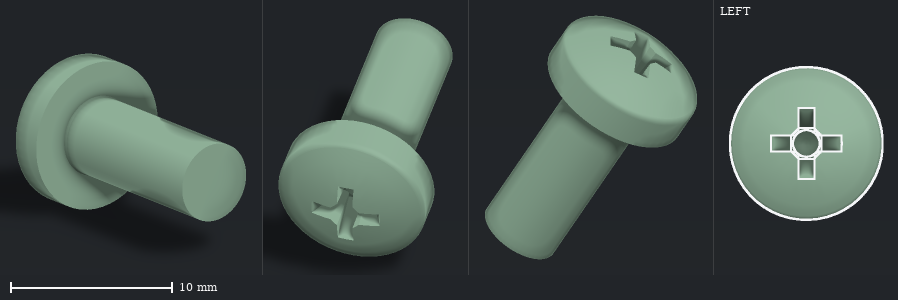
import cadquery as cq
import math

end_x = 15.63
shank_dia = 5.0
shank_length = 11.97
neck_length = 0.19
neck_flare = 0.06

head_dia = 9.5
seat_x = end_x - shank_length
apex_x = -0.06
dome_radius = 8.08
rim_round = 0.45

wing_width = 1.0
wing_reach = 2.2
wing_reach_x = 0.23
wing_floor_reach = 0.95
floor_x = 2.75
core_mouth_half = 1.0
core_floor_radius = 0.83
cone_depth = 0.44
recess_start_x = -0.31


def make_body():
    head_radius = head_dia / 2
    shank_radius = shank_dia / 2
    dome_center_x = apex_x + dome_radius
    rim_angle = math.asin((head_radius - rim_round) / (dome_radius - rim_round))
    rim_end_x = dome_center_x - (dome_radius - rim_round) * math.cos(rim_angle)

    def dome_point(angle):
        return (
            dome_center_x - dome_radius * math.cos(angle),
            dome_radius * math.sin(angle),
        )

    profile = (
        cq.Workplane("XY")
        .moveTo(apex_x, 0)
        .threePointArc(dome_point(rim_angle / 2), dome_point(rim_angle))
        .tangentArcPoint((rim_end_x, head_radius), relative=False)
        .lineTo(seat_x, head_radius)
        .lineTo(seat_x, shank_radius + neck_flare)
        .lineTo(seat_x + neck_length, shank_radius)
        .lineTo(end_x, shank_radius)
        .lineTo(end_x, 0)
        .close()
    )
    return profile.revolve(360, (0, 0, 0), (1, 0, 0))


def tapered_square(known_x, known_half, floor_half):
    """Square frustum along X, from the recess start to the floor."""
    slope = (known_half - floor_half) / (floor_x - known_x)
    start_half = floor_half + slope * (floor_x - recess_start_x)
    return (
        cq.Workplane("YZ", origin=(recess_start_x, 0, 0))
        .rect(2 * start_half, 2 * start_half)
        .workplane(offset=floor_x - recess_start_x)
        .rect(2 * floor_half, 2 * floor_half)
        .loft(ruled=True)
    )


def make_recess():
    envelope = tapered_square(wing_reach_x, wing_reach, wing_floor_reach)
    core = tapered_square(0, core_mouth_half, core_floor_radius)
    cross = core.rotate((0, 0, 0), (1, 0, 0), 45)
    for width_y, width_z in ((head_dia, wing_width), (wing_width, head_dia)):
        slot = (
            cq.Workplane("YZ", origin=(recess_start_x, 0, 0))
            .rect(width_y, width_z)
            .extrude(floor_x - recess_start_x)
        )
        cross = cross.union(slot)
    cone = (
        cq.Workplane("XY")
        .polyline([(floor_x, 0), (floor_x, core_floor_radius), (floor_x + cone_depth, 0)])
        .close()
        .revolve(360, (0, 0, 0), (1, 0, 0))
    )
    return envelope.intersect(cross).union(cone)


result = make_body().cut(make_recess())